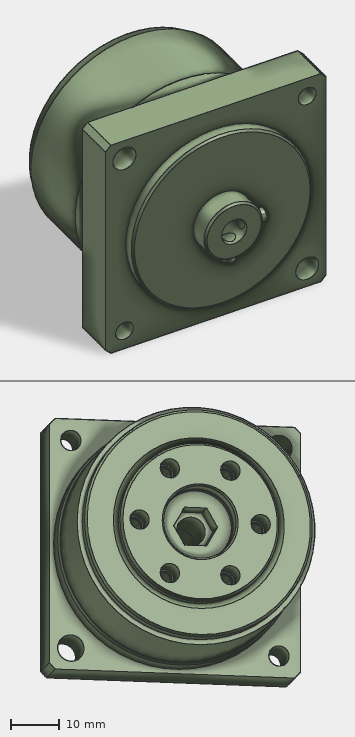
import cadquery as cq
import math

OUTPUT_FACE_X = 0.0
HOUSING_FRONT_X = 1.5
HOUSING_STEP_X = 4.5
ADAPTER_FRONT_X = 23.05
PLATE_FRONT_X = 28.0
PLATE_BACK_X = 37.45
PILOT_END_X = 40.1
HUB_END_X = 45.0
EDGE_CHAMFER = 0.5

OUTPUT_RADIUS = 16.75
OUTPUT_CHAMFER_LENGTH = 0.8
OUTPUT_BORE_RADIUS = 7.65
OUTPUT_BORE_DEPTH = 3.6
INNER_BORE_RADIUS = 7.5
INNER_BORE_DEPTH = 5.05
BORE_CHAMFER = 0.35
HEX_SIDES = 6
HEX_ACROSS_FLATS = 8.0
HEX_DEPTH = 5.3
THROUGH_HOLE_RADIUS = 3.0

BOLT_COUNT = 6
BOLT_CIRCLE_RADIUS = 12.75
BOLT_THREAD_RADIUS = 2.0
BOLT_THREAD_DEPTH = 6.35
BOLT_DRILL_RADIUS = 1.7
BOLT_DRILL_DEPTH = 7.95
DRILL_TIP_ANGLE = 118.0

HOUSING_RADIUS = 25.05
HOUSING_NOSE_RADIUS = 24.0
RECESS_RADIUS = 18.0

COLLAR_RADIUS = 25.6
PLATE_SIDE = 53.0
PLATE_CORNER_CHAMFER = 1.25
MOUNT_HOLE_OFFSET = 21.95
CLEARANCE_HOLE_RADIUS = 2.75
TAPPED_HOLE_RADIUS = 2.1
PILOT_RADIUS = 21.55

HUB_RADIUS = 7.0
SCREW_RADIUS = 1.5
SCREW_X = 42.6
SCREW_TIP_RADIUS = 8.4
SCREW_ANGLES = [0, -90]


def revolve_profile(points):
    """Turn an outline of (x, radius) points around the X axis."""
    return cq.Workplane("XY").polyline(points).close().revolve(360, (0, 0, 0), (1, 0, 0))


def cylinder_x(radius, start, end, y=0, z=0):
    """Cylinder along X between two positions."""
    return cq.Workplane("YZ", origin=(start, 0, 0)).center(y, z).circle(radius).extrude(end - start)


def bolt_hole_cutter():
    """Blind hole with a wider threaded stretch and a conical bottom, centred on the X axis."""
    tip_length = BOLT_DRILL_RADIUS / math.tan(math.radians(DRILL_TIP_ANGLE / 2))
    thread_end_x = OUTPUT_FACE_X + BOLT_THREAD_DEPTH
    drill_end_x = OUTPUT_FACE_X + BOLT_DRILL_DEPTH
    return revolve_profile([
        (OUTPUT_FACE_X, 0),
        (OUTPUT_FACE_X, BOLT_THREAD_RADIUS),
        (thread_end_x, BOLT_THREAD_RADIUS),
        (thread_end_x, BOLT_DRILL_RADIUS),
        (drill_end_x, BOLT_DRILL_RADIUS),
        (drill_end_x + tip_length, 0),
    ])


def make_output_flange():
    """Output disc with a stepped bore, hexagon socket, through hole and bolt circle."""
    bore_floor_x = OUTPUT_FACE_X + INNER_BORE_DEPTH
    flange = revolve_profile([
        (OUTPUT_FACE_X, OUTPUT_BORE_RADIUS + BORE_CHAMFER),
        (OUTPUT_FACE_X, OUTPUT_RADIUS - EDGE_CHAMFER),
        (OUTPUT_FACE_X + OUTPUT_CHAMFER_LENGTH, OUTPUT_RADIUS),
        (ADAPTER_FRONT_X, OUTPUT_RADIUS),
        (ADAPTER_FRONT_X, THROUGH_HOLE_RADIUS),
        (bore_floor_x, THROUGH_HOLE_RADIUS),
        (bore_floor_x, INNER_BORE_RADIUS),
        (OUTPUT_FACE_X + OUTPUT_BORE_DEPTH, INNER_BORE_RADIUS),
        (OUTPUT_FACE_X + OUTPUT_BORE_DEPTH, OUTPUT_BORE_RADIUS),
        (OUTPUT_FACE_X + BORE_CHAMFER, OUTPUT_BORE_RADIUS),
    ])
    hex_across_corners = HEX_ACROSS_FLATS / math.cos(math.pi / HEX_SIDES)
    hexagon = cq.Workplane("YZ", origin=(bore_floor_x, 0, 0)).polygon(HEX_SIDES, hex_across_corners)
    flange = flange.cut(hexagon.extrude(HEX_DEPTH))
    for index in range(BOLT_COUNT):
        angle = 2 * math.pi * index / BOLT_COUNT
        y = BOLT_CIRCLE_RADIUS * math.cos(angle)
        z = BOLT_CIRCLE_RADIUS * math.sin(angle)
        flange = flange.cut(bolt_hole_cutter().translate((0, y, z)))
    return flange


def make_housing():
    """Cylindrical housing around the output flange, with a conical recess at its mouth."""
    recess_depth = RECESS_RADIUS - OUTPUT_RADIUS
    return revolve_profile([
        (HOUSING_FRONT_X, RECESS_RADIUS),
        (HOUSING_FRONT_X, HOUSING_NOSE_RADIUS - EDGE_CHAMFER),
        (HOUSING_FRONT_X + EDGE_CHAMFER, HOUSING_NOSE_RADIUS),
        (HOUSING_STEP_X, HOUSING_NOSE_RADIUS),
        (HOUSING_STEP_X, HOUSING_RADIUS),
        (ADAPTER_FRONT_X, HOUSING_RADIUS),
        (ADAPTER_FRONT_X, OUTPUT_RADIUS),
        (HOUSING_FRONT_X + recess_depth, OUTPUT_RADIUS),
    ])


def make_adapter():
    """Motor adapter: round collar, square plate with corner holes, and centring pilot."""
    collar = cylinder_x(COLLAR_RADIUS, ADAPTER_FRONT_X, PLATE_FRONT_X)
    collar = collar.faces("<X").chamfer(EDGE_CHAMFER)
    plate = cq.Workplane("YZ", origin=(PLATE_FRONT_X, 0, 0)).rect(PLATE_SIDE, PLATE_SIDE)
    plate = plate.extrude(PLATE_BACK_X - PLATE_FRONT_X).edges("|X").chamfer(PLATE_CORNER_CHAMFER)
    pilot = cylinder_x(PILOT_RADIUS, PLATE_BACK_X, PILOT_END_X)
    pilot = pilot.faces(">X").chamfer(EDGE_CHAMFER)
    adapter = collar.union(plate).union(pilot)

    for side_y in (-1, 1):
        for side_z in (-1, 1):
            radius = TAPPED_HOLE_RADIUS if side_y == side_z else CLEARANCE_HOLE_RADIUS
            y = side_y * MOUNT_HOLE_OFFSET
            z = side_z * MOUNT_HOLE_OFFSET
            adapter = adapter.cut(cylinder_x(radius, PLATE_FRONT_X, PLATE_BACK_X, y, z))
    hub_seat = cylinder_x(HUB_RADIUS, ADAPTER_FRONT_X, PILOT_END_X)
    return adapter.cut(hub_seat)


def make_screw(angle):
    """Radial clamping screw reaching from the hub bore to just outside the hub."""
    screw = cq.Workplane("XZ", origin=(SCREW_X, SCREW_TIP_RADIUS, 0)).circle(SCREW_RADIUS)
    screw = screw.extrude(SCREW_TIP_RADIUS).cut(
        cylinder_x(THROUGH_HOLE_RADIUS, ADAPTER_FRONT_X, HUB_END_X)
    )
    return screw.rotate((0, 0, 0), (1, 0, 0), angle)


def make_hub(screws):
    """Hollow input hub with a radial hole for each clamping screw."""
    hub = cylinder_x(HUB_RADIUS, ADAPTER_FRONT_X, HUB_END_X).faces(">X").chamfer(EDGE_CHAMFER)
    hub = hub.cut(cylinder_x(THROUGH_HOLE_RADIUS, ADAPTER_FRONT_X, HUB_END_X))
    for screw in screws:
        hub = hub.cut(screw)
    return hub


output_flange = make_output_flange()
housing = make_housing()
adapter = make_adapter()
screws = [make_screw(angle) for angle in SCREW_ANGLES]
hub = make_hub(screws)

result = cq.Compound.makeCompound([
    output_flange.val(),
    housing.val(),
    adapter.val(),
    hub.val(),
    *[screw.val() for screw in screws],
])